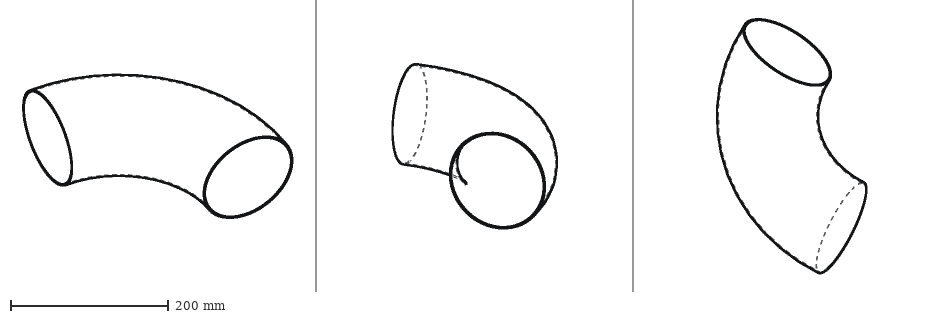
import cadquery as cq

overall_length = 252.0
pipe_diameter = 129.0
wall_thickness = 2.0
bend_angle = 90

outer_radius = pipe_diameter / 2
inner_radius = outer_radius - wall_thickness
bend_radius = overall_length - outer_radius

pipe_section = cq.Workplane("XZ").circle(outer_radius).circle(inner_radius)

axis_start = (bend_radius, 0)
axis_end = (bend_radius, -1)
result = pipe_section.revolve(bend_angle, axis_start, axis_end)